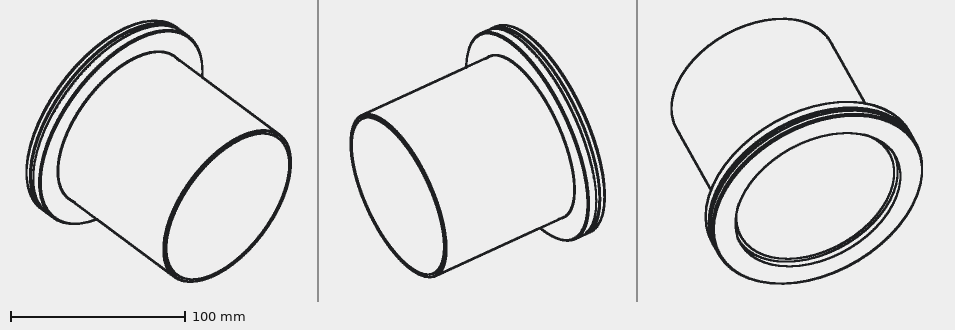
import cadquery as cq

total_length = 100.0

flange_diameter = 130.0
flange_thickness = 12.0
face_bevel_length = 0.9
face_bevel_depth = 0.6
back_bevel = 0.6

groove_start = 3.6
groove_width = 2.7
groove_shoulder_diameter = 128.0
groove_bottom_diameter = 126.8

tube_diameter = 101.7
bore_diameter = 97.6
tube_end_bevel = 0.5

seat_diameter = 102.0
seat_depth = 4.0
collar_length = 0.4


def revolve_about_x(profile):
    return profile.close().revolve(360, (0, 0, 0), (1, 0, 0))


def cylinder_along_x(diameter, start, length):
    return cq.Workplane("YZ", origin=(start, 0, 0)).circle(diameter / 2).extrude(length)


def make_flange():
    radius = flange_diameter / 2
    profile = (
        cq.Workplane("XY")
        .moveTo(0, 0)
        .lineTo(0, radius - face_bevel_depth)
        .lineTo(face_bevel_length, radius)
        .lineTo(flange_thickness - back_bevel, radius)
        .lineTo(flange_thickness, radius - back_bevel)
        .lineTo(flange_thickness, 0)
    )
    return revolve_about_x(profile)


def make_groove():
    """Ring-shaped cutter with straight walls and a concave bottom."""
    groove_end = groove_start + groove_width
    shoulder_radius = groove_shoulder_diameter / 2
    bottom = (groove_start + groove_width / 2, groove_bottom_diameter / 2)
    profile = (
        cq.Workplane("XY")
        .moveTo(groove_start, flange_diameter / 2)
        .lineTo(groove_start, shoulder_radius)
        .threePointArc(bottom, (groove_end, shoulder_radius))
        .lineTo(groove_end, flange_diameter / 2)
    )
    return revolve_about_x(profile)


tube = cylinder_along_x(tube_diameter, 0, total_length).faces(">X").chamfer(tube_end_bevel)
collar = cylinder_along_x(seat_diameter, 0, flange_thickness + collar_length)
bore = cylinder_along_x(bore_diameter, 0, total_length)
seat = cylinder_along_x(seat_diameter, 0, seat_depth)

result = make_flange().cut(make_groove()).union(collar).union(tube).cut(bore).cut(seat)